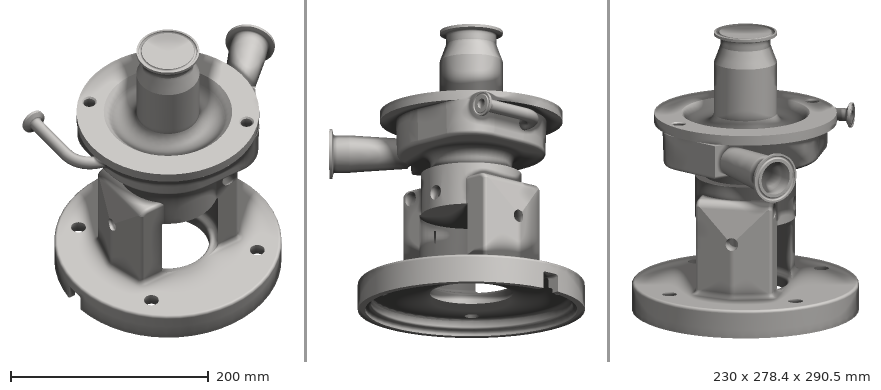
import cadquery as cq
import math

SELECT_MARGIN = 0.1

BASE_RADIUS = 115.0
BASE_HEIGHT = 29.0
BASE_EDGE_FILLET = 3.0
BORE_RADIUS = 42.0
BOLT_CIRCLE_RADIUS = 92.0
BOLT_HOLE_DIAMETER = 15.0
RECESS_RADIUS = 101.5
RECESS_DEPTH = 17.0
RECESS_FILLET = 3.0
SPIGOT_RADIUS = 107.5
SPIGOT_DEPTH = 5.8
SPIGOT_CORNER_FILLET = 3.8
SPIGOT_EDGE_FILLET = 2.1
NOTCH_WIDTH = 20.5
NOTCH_HEIGHT = 17.5
NOTCH_FILLET = 2.0

LEG_HALF_WIDTH = 39.5
LEG_TOP = 127.0
LEG_RIDGE_Y = 70.0
LEG_FACE_ANGLE = 15.0
LEG_RIDGE_FILLET = 9.5
LEG_TOP_FILLET = 10.0
LEG_EDGE_FILLET = 4.0
LEG_FOOT_FILLET = 5.0
FACET_TOP_Y = 59.0
SOCKET_RADIUS = 52.4
RIDGE_HOLE_DIAMETER = 13.2
RIDGE_HOLE_Z = 85.5
RIDGE_HOLE_BREAKTHROUGH = 0.02
RIDGE_HOLE_BOTTOM_Y = SOCKET_RADIUS - RIDGE_HOLE_BREAKTHROUGH

COLLAR_RADIUS = 51.0
COLLAR_BOTTOM = 98.0
COLLAR_TOP = 141.0
NECK_RADIUS = 41.5
NECK_FLARE = 9.5
SIDE_HOLE_DIAMETER = 15.0
SIDE_HOLE_DEPTH = 15.0
SIDE_HOLE_Z = 113.6
CROSS_HOLE_DIAMETER = 15.0
CROSS_HOLE_Y = 47.4
CROSS_HOLE_Z = 117.3

HOUSING_BOTTOM = 160.0
HOUSING_TOP = 196.0
HOUSING_RADIUS = 76.4
HOUSING_DRAFT = 2.0
HOUSING_BOTTOM_FILLET = 4.0
LOBE_RADIUS = 35.0
OUTLET_WALL_ANGLE = 60.0
OUTLET_FACE_DISTANCE = 62.5

COVER_RADIUS = 92.5
COVER_TOP = 206.0
DISH_RADIUS = 65.0
DISH_TROUGH_RADIUS = 46.75
DISH_ARC_RADIUS = 15.5
COVER_HOLE_RADIUS = 80.9
COVER_HOLE_DIAMETER = 12.0
COVER_HOLE_CHAMFER = 1.5
COVER_HOLE_DEPTH = 20.0
DRILL_POINT_ANGLE = 118.0

TOTAL_HEIGHT = 290.5
INLET_RADIUS = 31.9
INLET_NECK_RADIUS = 25.5
INLET_CONE_BOTTOM = 259.3
INLET_CONE_TOP = 276.6

FERRULE_RIM = 2.9
FERRULE_LENGTH = 5.5
FERRULE_HUB_FILLET = 1.6
GROOVE_SIZE = 1.6
INLET_GROOVE_RADIUS = 28.2

DISCHARGE_ANGLE = 135.0
DISCHARGE_OFFSET = 58.3
DISCHARGE_END = 144.1
DISCHARGE_Z = 178.0
DISCHARGE_RIM_RADIUS = 25.25
DISCHARGE_PIPE_RADIUS = 19.0
DISCHARGE_ROOT_RADIUS = 15.2
DISCHARGE_ROOT_CHAMFER = 3.0
DISCHARGE_STRAIGHT = 20.4
DISCHARGE_BORE_STRAIGHT = 14.0
DISCHARGE_WALL = 2.0
DISCHARGE_GROOVE_RADIUS = 21.75

DRAIN_Y = -104.9
DRAIN_Z = 180.3
DRAIN_END_X = -89.0
DRAIN_BEND_RADIUS = 28.7
DRAIN_PIPE_RADIUS = 6.5
DRAIN_BORE_RADIUS = 5.0
DRAIN_RIM_RADIUS = 12.5
DRAIN_GROOVE_RADIUS = 10.2
DRAIN_GROOVE_SIZE = 1.0
DRAIN_FERRULE_LENGTH = 6.8


def polar(radius, degrees, center=(0.0, 0.0)):
    """Point at the given radius and angle around a center."""
    angle = math.radians(degrees)
    return (center[0] + radius * math.cos(angle), center[1] + radius * math.sin(angle))


def cylinder(radius, bottom, top):
    """Cylinder about the Z axis between two heights."""
    return cq.Workplane("XY").workplane(offset=bottom).circle(radius).extrude(top - bottom)


def revolve_about_z(profile):
    """Full turn about Z of an XZ profile."""
    return profile.close().revolve(360, (0, 0, 0), (0, 1, 0))


def edges_at_height(height, reach_x, reach_y):
    """Selector for the edges lying at one height within the given reach of the Z axis."""
    return cq.selectors.BoxSelector(
        (-reach_x, -reach_y, height - SELECT_MARGIN),
        (reach_x, reach_y, height + SELECT_MARGIN),
        boundingbox=True,
    )


def ferrule(plane, rim_radius, neck_radius, length, groove_radius, groove_size):
    """Clamp ferrule with a half-round ring groove in its end face.

    The plane's origin is the center of the end face and its X axis points outward from it.
    """
    fillet = FERRULE_HUB_FILLET
    fillet_center = (-length, neck_radius + fillet)
    body = (
        cq.Workplane(plane)
        .lineTo(0, rim_radius)
        .lineTo(-FERRULE_RIM, rim_radius)
        .lineTo(-length + fillet, neck_radius + fillet)
        .threePointArc(polar(fillet, -45, fillet_center), (-length, neck_radius))
        .lineTo(-length, 0)
        .close()
        .revolve(360, (0, 0, 0), (1, 0, 0))
    )
    groove = (
        cq.Workplane(plane)
        .center(0, groove_radius)
        .circle(groove_size)
        .revolve(360, (0, -groove_radius, 0), (1, -groove_radius, 0))
    )
    return body.cut(groove)


def make_base():
    base = cylinder(BASE_RADIUS, 0, BASE_HEIGHT).cut(cylinder(BORE_RADIUS, 0, BASE_HEIGHT))
    base = base.faces(">Z").edges().fillet(BASE_EDGE_FILLET)
    recess = cylinder(RECESS_RADIUS, 0, RECESS_DEPTH).faces(">Z").edges().fillet(RECESS_FILLET)
    spigot = cylinder(SPIGOT_RADIUS, 0, SPIGOT_DEPTH).faces(">Z").edges().fillet(SPIGOT_CORNER_FILLET)
    base = base.cut(recess).cut(spigot)
    step_edge = edges_at_height(SPIGOT_DEPTH, SPIGOT_RADIUS, SPIGOT_RADIUS)
    base = base.edges(step_edge).edges(cq.selectors.RadiusNthSelector(0)).fillet(SPIGOT_EDGE_FILLET)
    bolt_square = BOLT_CIRCLE_RADIUS * math.sqrt(2)
    bolt_holes = (
        cq.Workplane("XY")
        .rect(bolt_square, bolt_square, forConstruction=True)
        .vertices()
        .circle(BOLT_HOLE_DIAMETER / 2)
        .extrude(BASE_HEIGHT)
    )
    return base.cut(bolt_holes)


def make_notch():
    """Notch through the base rim on the -Y side."""
    notch = cq.Workplane("XY").box(
        NOTCH_WIDTH, BASE_RADIUS - BOLT_CIRCLE_RADIUS, NOTCH_HEIGHT, centered=(True, False, False)
    )
    notch = notch.edges("|Y and >Z").fillet(NOTCH_FILLET)
    return notch.translate((0, -BASE_RADIUS, 0))


def make_leg():
    """Leg on the -Y side: two angled faces meeting in a ridge, with a sloped facet at the top."""
    slope = math.tan(math.radians(LEG_FACE_ANGLE))
    corner_y = -LEG_RIDGE_Y + LEG_HALF_WIDTH * slope
    leg = (
        cq.Workplane("XY")
        .workplane(offset=BASE_HEIGHT)
        .moveTo(-LEG_HALF_WIDTH, 0)
        .lineTo(-LEG_HALF_WIDTH, corner_y)
        .lineTo(0, -LEG_RIDGE_Y)
        .lineTo(LEG_HALF_WIDTH, corner_y)
        .lineTo(LEG_HALF_WIDTH, 0)
        .close()
        .extrude(LEG_TOP - BASE_HEIGHT)
    )
    leg = leg.edges("|Z and <Y").fillet(LEG_RIDGE_FILLET)
    facet_height = (LEG_RIDGE_Y - FACET_TOP_Y) / slope
    facet_wedge = (
        cq.Workplane("YZ")
        .moveTo(-FACET_TOP_Y, LEG_TOP)
        .lineTo(-FACET_TOP_Y - 2 * facet_height * slope, LEG_TOP - 2 * facet_height)
        .lineTo(-FACET_TOP_Y - 2 * facet_height * slope, LEG_TOP)
        .close()
        .extrude(LEG_HALF_WIDTH, both=True)
    )
    leg = leg.cut(facet_wedge)
    leg = leg.faces(">Z").edges("<Y").fillet(LEG_TOP_FILLET)
    leg = leg.faces("<X or >X").edges("not(<Z or >Y)").fillet(LEG_EDGE_FILLET)
    ridge_hole = (
        cq.Workplane("XZ", origin=(0, -RIDGE_HOLE_BOTTOM_Y, RIDGE_HOLE_Z))
        .circle(RIDGE_HOLE_DIAMETER / 2)
        .extrude(LEG_RIDGE_Y)
    )
    return leg.cut(cylinder(SOCKET_RADIUS, BASE_HEIGHT, COLLAR_BOTTOM)).cut(ridge_hole)


def make_frame():
    """Base with both legs blended into it."""
    leg = make_leg()
    frame = make_base().union(leg).union(leg.mirror("XZ"))
    foot_edges = edges_at_height(BASE_HEIGHT, LEG_HALF_WIDTH + SELECT_MARGIN, LEG_RIDGE_Y)
    lip_radius = BORE_RADIUS + BASE_EDGE_FILLET
    bore_rim = edges_at_height(BASE_HEIGHT, lip_radius + SELECT_MARGIN, lip_radius + SELECT_MARGIN)
    frame = frame.edges(foot_edges - bore_rim).fillet(LEG_FOOT_FILLET)
    return frame.cut(make_notch())


def make_collar_and_neck():
    flare_top_radius = NECK_RADIUS + NECK_FLARE
    flare_bottom = HOUSING_BOTTOM - NECK_FLARE
    flare_middle = polar(NECK_FLARE, 135, (flare_top_radius, flare_bottom))
    profile = (
        cq.Workplane("XZ")
        .moveTo(0, COLLAR_BOTTOM)
        .lineTo(COLLAR_RADIUS, COLLAR_BOTTOM)
        .lineTo(COLLAR_RADIUS, COLLAR_TOP)
        .lineTo(NECK_RADIUS, COLLAR_TOP)
        .lineTo(NECK_RADIUS, flare_bottom)
        .threePointArc(flare_middle, (flare_top_radius, HOUSING_BOTTOM))
        .lineTo(0, HOUSING_BOTTOM)
    )
    collar = revolve_about_z(profile)
    side_hole = (
        cq.Workplane("YZ", origin=(-COLLAR_RADIUS, 0, SIDE_HOLE_Z))
        .circle(SIDE_HOLE_DIAMETER / 2)
        .extrude(SIDE_HOLE_DEPTH)
    )
    return collar.cut(side_hole)


def make_housing():
    """Drafted volute: a round body with two corner lobes and an outlet block."""
    radius = HOUSING_RADIUS
    lobe = radius - LOBE_RADIUS
    wall_start = polar(LOBE_RADIUS, OUTLET_WALL_ANGLE, (lobe, lobe))
    outlet_x, outlet_y = polar(1, DISCHARGE_ANGLE)
    wall_x, wall_y = polar(1, OUTLET_WALL_ANGLE + 90)
    start_distance = wall_start[0] * outlet_x + wall_start[1] * outlet_y
    wall_length = (OUTLET_FACE_DISTANCE - start_distance) / (wall_x * outlet_x + wall_y * outlet_y)
    wall_end = (wall_start[0] + wall_length * wall_x, wall_start[1] + wall_length * wall_y)
    face_end_angle = DISCHARGE_ANGLE - math.degrees(math.acos(OUTLET_FACE_DISTANCE / radius))
    outline = (
        cq.Workplane("XY", origin=(0, 0, HOUSING_TOP))
        .moveTo(0, -radius)
        .threePointArc(polar(radius, -45), (radius, 0))
        .lineTo(radius, lobe)
        .threePointArc(polar(LOBE_RADIUS, OUTLET_WALL_ANGLE / 2, (lobe, lobe)), wall_start)
        .lineTo(*wall_end)
        .lineTo(*polar(radius, face_end_angle))
        .threePointArc(polar(radius, DISCHARGE_ANGLE), (-radius, 0))
        .lineTo(-radius, -lobe)
        .threePointArc(polar(LOBE_RADIUS, 225, (-lobe, -lobe)), (-lobe, -radius))
        .close()
    )
    housing = outline.extrude(HOUSING_BOTTOM - HOUSING_TOP, taper=HOUSING_DRAFT)
    bottom_edges = edges_at_height(HOUSING_BOTTOM, 2 * radius, 2 * radius)
    outlet_edge = cq.selectors.NearestToPointSelector(
        (*polar(OUTLET_FACE_DISTANCE + DISCHARGE_OFFSET, DISCHARGE_ANGLE - 45), HOUSING_BOTTOM)
    )
    return housing.edges(bottom_edges - outlet_edge).fillet(HOUSING_BOTTOM_FILLET)


def make_cover():
    """Round cover plate carrying the inlet stub, which ends in a clamp ferrule."""
    profile = (
        cq.Workplane("XZ")
        .moveTo(0, HOUSING_TOP)
        .lineTo(COVER_RADIUS, HOUSING_TOP)
        .lineTo(COVER_RADIUS, COVER_TOP)
        .lineTo(INLET_RADIUS, COVER_TOP)
        .lineTo(INLET_RADIUS, INLET_CONE_BOTTOM)
        .lineTo(INLET_NECK_RADIUS, INLET_CONE_TOP)
        .lineTo(INLET_NECK_RADIUS, TOTAL_HEIGHT - FERRULE_LENGTH)
        .lineTo(0, TOTAL_HEIGHT - FERRULE_LENGTH)
    )
    face = cq.Plane(origin=(0, 0, TOTAL_HEIGHT), xDir=(0, 0, 1), normal=(0, -1, 0))
    rim = ferrule(
        face, INLET_RADIUS, INLET_NECK_RADIUS, FERRULE_LENGTH, INLET_GROOVE_RADIUS, GROOVE_SIZE
    )
    return revolve_about_z(profile).union(rim)


def make_dish():
    """Annular dish around the inlet stub: a 45 degree cone running tangentially into a round trough."""
    cone_width = DISH_RADIUS - DISH_TROUGH_RADIUS - DISH_ARC_RADIUS * math.sqrt(0.5)
    cone_end = (DISH_RADIUS - cone_width, COVER_TOP - cone_width)
    arc_z = cone_end[1] + DISH_ARC_RADIUS * math.sqrt(0.5)
    stub_offset = DISH_TROUGH_RADIUS - INLET_RADIUS
    stub_z = arc_z - math.sqrt(DISH_ARC_RADIUS**2 - stub_offset**2)
    profile = (
        cq.Workplane("XZ")
        .moveTo(INLET_RADIUS, COVER_TOP)
        .lineTo(DISH_RADIUS, COVER_TOP)
        .lineTo(*cone_end)
        .threePointArc((DISH_TROUGH_RADIUS, arc_z - DISH_ARC_RADIUS), (INLET_RADIUS, stub_z))
    )
    return revolve_about_z(profile)


def make_cover_holes():
    """Two countersunk blind holes with drill points, opposite each other."""
    radius = COVER_HOLE_DIAMETER / 2
    point = radius / math.tan(math.radians(DRILL_POINT_ANGLE / 2))
    bottom = COVER_TOP - COVER_HOLE_DEPTH
    hole = revolve_about_z(
        cq.Workplane("XZ")
        .moveTo(0, COVER_TOP)
        .lineTo(radius + COVER_HOLE_CHAMFER, COVER_TOP)
        .lineTo(radius, COVER_TOP - COVER_HOLE_CHAMFER)
        .lineTo(radius, bottom)
        .lineTo(0, bottom - point)
    )
    first = hole.translate((*polar(COVER_HOLE_RADIUS, 45), 0))
    second = hole.translate((*polar(COVER_HOLE_RADIUS, 225), 0))
    return first.union(second)


def make_discharge():
    """Discharge pipe and its bore; the local X axis runs outward along the pipe."""
    origin = (*polar(DISCHARGE_OFFSET, DISCHARGE_ANGLE - 90), DISCHARGE_Z)
    plane = cq.Plane(origin=origin, xDir=(*polar(1, DISCHARGE_ANGLE), 0), normal=(0, 0, 1))
    embedded_end = OUTLET_FACE_DISTANCE - DISCHARGE_WALL
    cone_start = OUTLET_FACE_DISTANCE + DISCHARGE_ROOT_CHAMFER
    straight_start = DISCHARGE_END - DISCHARGE_STRAIGHT
    pipe = (
        cq.Workplane(plane)
        .moveTo(embedded_end, 0)
        .lineTo(embedded_end, DISCHARGE_ROOT_RADIUS - DISCHARGE_ROOT_CHAMFER)
        .lineTo(OUTLET_FACE_DISTANCE, DISCHARGE_ROOT_RADIUS - DISCHARGE_ROOT_CHAMFER)
        .lineTo(cone_start, DISCHARGE_ROOT_RADIUS)
        .lineTo(straight_start, DISCHARGE_PIPE_RADIUS)
        .lineTo(DISCHARGE_END - FERRULE_LENGTH, DISCHARGE_PIPE_RADIUS)
        .lineTo(DISCHARGE_END - FERRULE_LENGTH, 0)
        .close()
        .revolve(360, (0, 0, 0), (1, 0, 0))
    )
    bore = (
        cq.Workplane(plane)
        .moveTo(cone_start, 0)
        .lineTo(cone_start, DISCHARGE_ROOT_RADIUS - DISCHARGE_WALL)
        .lineTo(DISCHARGE_END - DISCHARGE_BORE_STRAIGHT, DISCHARGE_PIPE_RADIUS - DISCHARGE_WALL)
        .lineTo(DISCHARGE_END, DISCHARGE_PIPE_RADIUS - DISCHARGE_WALL)
        .lineTo(DISCHARGE_END, 0)
        .close()
        .revolve(360, (0, 0, 0), (1, 0, 0))
    )
    face_center = plane.toWorldCoords((DISCHARGE_END, 0, 0))
    face = cq.Plane(origin=face_center, xDir=plane.xDir, normal=(0, 0, 1))
    rim = ferrule(
        face,
        DISCHARGE_RIM_RADIUS,
        DISCHARGE_PIPE_RADIUS,
        FERRULE_LENGTH,
        DISCHARGE_GROOVE_RADIUS,
        GROOVE_SIZE,
    )
    return pipe.union(rim), bore


def drain_sweep(radius):
    """Round bar along the drain: straight from its end, then a quarter bend into the housing."""
    bend_start = -DRAIN_BEND_RADIUS
    bend_center = (bend_start, DRAIN_Y + DRAIN_BEND_RADIUS)
    path = (
        cq.Workplane("XY", origin=(0, 0, DRAIN_Z))
        .moveTo(DRAIN_END_X, DRAIN_Y)
        .lineTo(bend_start, DRAIN_Y)
        .threePointArc(polar(DRAIN_BEND_RADIUS, -45, bend_center), (0, bend_center[1]))
        .lineTo(0, bend_center[1] + DRAIN_BORE_RADIUS)
    )
    section = cq.Workplane("YZ", origin=(DRAIN_END_X, DRAIN_Y, DRAIN_Z)).circle(radius)
    return section.sweep(path)


def make_drain():
    """Drain pipe with its clamp ferrule, and the bore through it."""
    face = cq.Plane(origin=(DRAIN_END_X, DRAIN_Y, DRAIN_Z), xDir=(-1, 0, 0), normal=(0, 0, 1))
    rim = ferrule(
        face,
        DRAIN_RIM_RADIUS,
        DRAIN_PIPE_RADIUS,
        DRAIN_FERRULE_LENGTH,
        DRAIN_GROOVE_RADIUS,
        DRAIN_GROOVE_SIZE,
    )
    return drain_sweep(DRAIN_PIPE_RADIUS).union(rim), drain_sweep(DRAIN_BORE_RADIUS)


def make_cross_hole():
    """Hole along X through the +Y leg and the collar beside it."""
    return (
        cq.Workplane("YZ", origin=(0, CROSS_HOLE_Y, CROSS_HOLE_Z))
        .circle(CROSS_HOLE_DIAMETER / 2)
        .extrude(COLLAR_RADIUS, both=True)
    )


discharge, discharge_bore = make_discharge()
drain, drain_bore = make_drain()
result = make_frame().union(make_collar_and_neck())
result = result.union(make_housing()).union(make_cover())
result = result.union(discharge).union(drain)
result = result.cut(make_dish()).cut(make_cover_holes()).cut(make_cross_hole())
result = result.cut(discharge_bore).cut(drain_bore)